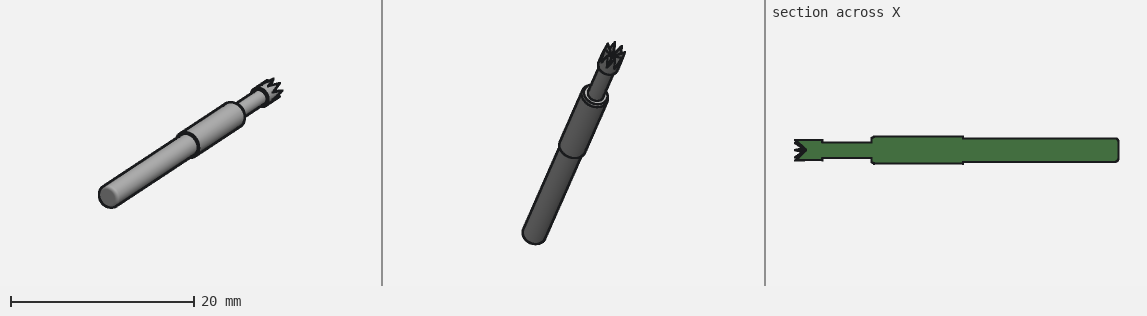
import cadquery as cq
import math

TOTAL_LENGTH = 35.3

HEAD_RADIUS = 1.13
HEAD_LENGTH = 3.0
TOOTH_COUNT = 8
VALLEY_DEPTH = 1.9
HOLLOW_DEPTH = 1.15

SHAFT_RADIUS = 0.9
SHAFT_LENGTH = 5.33

COLLAR_DIAMETER = 3.0
COLLAR_RADIUS = COLLAR_DIAMETER / 2
COLLAR_LENGTH = 10.03
COLLAR_BEVEL_LENGTH = 0.32
COLLAR_BEVEL_DEPTH = 0.18

BARREL_RADIUS = 1.3
END_ROUND_RADIUS = 0.4

TIP_Y = TOTAL_LENGTH / 2
HEAD_BASE_Y = TIP_Y - HEAD_LENGTH
COLLAR_TOP_Y = HEAD_BASE_Y - SHAFT_LENGTH
COLLAR_BASE_Y = COLLAR_TOP_Y - COLLAR_LENGTH
END_Y = -TOTAL_LENGTH / 2
HOLLOW_Y = TIP_Y - HOLLOW_DEPTH


def turned_body():
    """Revolve the half profile, with the head still flat across the tooth tips."""
    profile = (
        cq.Workplane("XY")
        .moveTo(0, TIP_Y)
        .lineTo(HEAD_RADIUS, TIP_Y)
        .lineTo(HEAD_RADIUS, HEAD_BASE_Y)
        .lineTo(SHAFT_RADIUS, HEAD_BASE_Y)
        .lineTo(SHAFT_RADIUS, COLLAR_TOP_Y)
        .lineTo(COLLAR_RADIUS - COLLAR_BEVEL_DEPTH, COLLAR_TOP_Y)
        .lineTo(COLLAR_RADIUS, COLLAR_TOP_Y - COLLAR_BEVEL_LENGTH)
        .lineTo(COLLAR_RADIUS, COLLAR_BASE_Y)
        .lineTo(BARREL_RADIUS, COLLAR_BASE_Y)
        .lineTo(BARREL_RADIUS, END_Y + END_ROUND_RADIUS)
        .tangentArcPoint((BARREL_RADIUS - END_ROUND_RADIUS, END_Y), relative=False)
        .lineTo(0, END_Y)
        .close()
    )
    return profile.revolve(360, (0, 0), (0, 1))


def triangle(*corners):
    """Flat three-cornered face."""
    return cq.Face.makeFromWires(cq.Wire.makePolygon(corners, close=True))


def crown_cutter():
    """Star-shaped polyhedron whose underside is the toothed face of the crown.

    Ridges run from its centre point out through the tooth tips, and the
    creases between them run out through the valleys.
    """
    reach = 1.5
    peak_height = 8.82
    half_pitch = math.pi / TOOTH_COUNT
    centre = cq.Vector(0, HOLLOW_Y, 0)
    peak = cq.Vector(0, TIP_Y + peak_height, 0)
    outer_points = []
    for index in range(2 * TOOTH_COUNT):
        angle = index * half_pitch
        rim_y = TIP_Y if index % 2 == 0 else TIP_Y - VALLEY_DEPTH
        rim_point = cq.Vector(HEAD_RADIUS * math.sin(angle), rim_y, HEAD_RADIUS * math.cos(angle))
        outer_points.append(centre + (rim_point - centre) * reach)
    faces = []
    for index, point in enumerate(outer_points):
        previous = outer_points[index - 1]
        faces.append(triangle(centre, point, previous))
        faces.append(triangle(peak, previous, point))
    return cq.Workplane(cq.Solid.makeSolid(cq.Shell.makeShell(faces)))


result = turned_body().cut(crown_cutter()).solids()